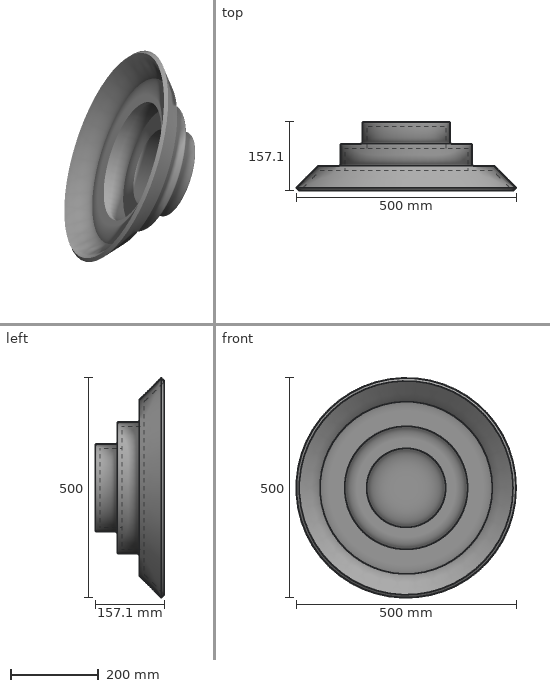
import cadquery as cq
import math

WALL = 10.0
STEP_HEIGHT = 50.0
CAP_RADIUS = 100.0
COLLAR_RADIUS = 150.0
SHOULDER_RADIUS = 200.0
FLARE_ANGLE = math.radians(45.0)
FILLET = 4.0

SHOULDER_Y = STEP_HEIGHT
COLLAR_Y = SHOULDER_Y + STEP_HEIGHT
CAP_Y = COLLAR_Y + STEP_HEIGHT

SKIRT_RADIUS = SHOULDER_RADIUS + STEP_HEIGHT * math.tan(FLARE_ANGLE)
RIM_RADIUS = SKIRT_RADIUS - WALL * math.cos(FLARE_ANGLE)
RIM_Y = -WALL * math.sin(FLARE_ANGLE)
FLOOR_Y = SHOULDER_Y - WALL
FLOOR_RADIUS = RIM_RADIUS - (FLOOR_Y - RIM_Y) * math.tan(FLARE_ANGLE)


def stepped_dish():
    """Revolve the wall section, drawn as (radius, Y), about the Y axis."""
    section = [
        (0, CAP_Y),
        (CAP_RADIUS, CAP_Y),
        (CAP_RADIUS, COLLAR_Y),
        (COLLAR_RADIUS, COLLAR_Y),
        (COLLAR_RADIUS, SHOULDER_Y),
        (SHOULDER_RADIUS, SHOULDER_Y),
        (SKIRT_RADIUS, 0),
        (RIM_RADIUS, RIM_Y),
        (FLOOR_RADIUS, FLOOR_Y),
        (COLLAR_RADIUS - WALL, FLOOR_Y),
        (COLLAR_RADIUS - WALL, COLLAR_Y - WALL),
        (CAP_RADIUS - WALL, COLLAR_Y - WALL),
        (CAP_RADIUS - WALL, CAP_Y - WALL),
        (0, CAP_Y - WALL),
    ]
    return cq.Workplane("XY").polyline(section).close().revolve(360, (0, 0), (0, 1))


def circles_at(level):
    """Select every edge that lies wholly at the given Y level."""
    tolerance = 0.1
    return cq.selectors.BoxSelector(
        (-SKIRT_RADIUS, level - tolerance, -SKIRT_RADIUS),
        (SKIRT_RADIUS, level + tolerance, SKIRT_RADIUS),
        boundingbox=True,
    )


def round_outer_corners(body):
    """Round the edge and root of both steps and the shoulder; inside corners stay sharp."""
    outer_corners = circles_at(SHOULDER_Y) + circles_at(COLLAR_Y) + circles_at(CAP_Y)
    return body.edges(outer_corners).fillet(FILLET)


result = round_outer_corners(stepped_dish())